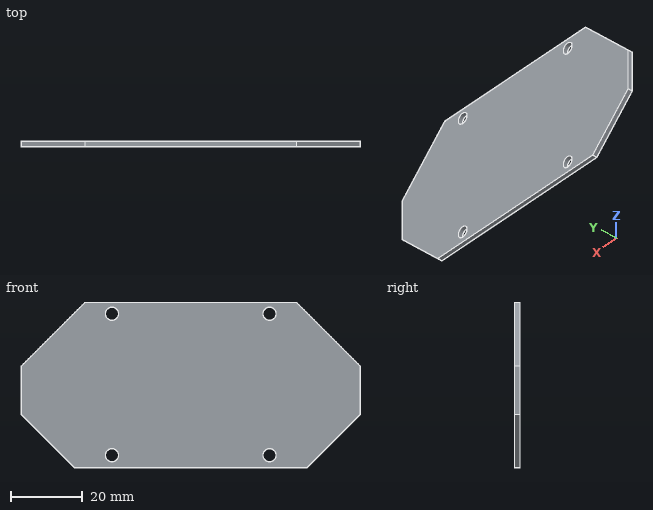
import cadquery as cq

length = 94.7
height = 46.2
thickness = 1.6
back_face = (0, thickness / 2, 0)

top_cut = 17.85
bottom_cut = 14.85

hole_diameter = 3.6
hole_spacing_x = 44.0
hole_spacing_z = 39.5
top_hole_edge_distance = 3.2


def plate():
    """Flat plate parallel to XZ and centred on the origin, its four corners cut at 45 degrees."""
    half_length = length / 2
    half_height = height / 2
    outline = [
        (-half_length, -half_height + bottom_cut),
        (-half_length + bottom_cut, -half_height),
        (half_length - bottom_cut, -half_height),
        (half_length, -half_height + bottom_cut),
        (half_length, half_height - top_cut),
        (half_length - top_cut, half_height),
        (-half_length + top_cut, half_height),
        (-half_length, half_height - top_cut),
    ]
    return cq.Workplane("XZ", origin=back_face).polyline(outline).close().extrude(thickness)


def mounting_holes():
    """Four round cutters through the full plate thickness."""
    pattern_centre_z = height / 2 - top_hole_edge_distance - hole_spacing_z / 2
    return (
        cq.Workplane("XZ", origin=back_face)
        .center(0, pattern_centre_z)
        .rarray(hole_spacing_x, hole_spacing_z, 2, 2)
        .circle(hole_diameter / 2)
        .extrude(thickness)
    )


result = plate().cut(mounting_holes())